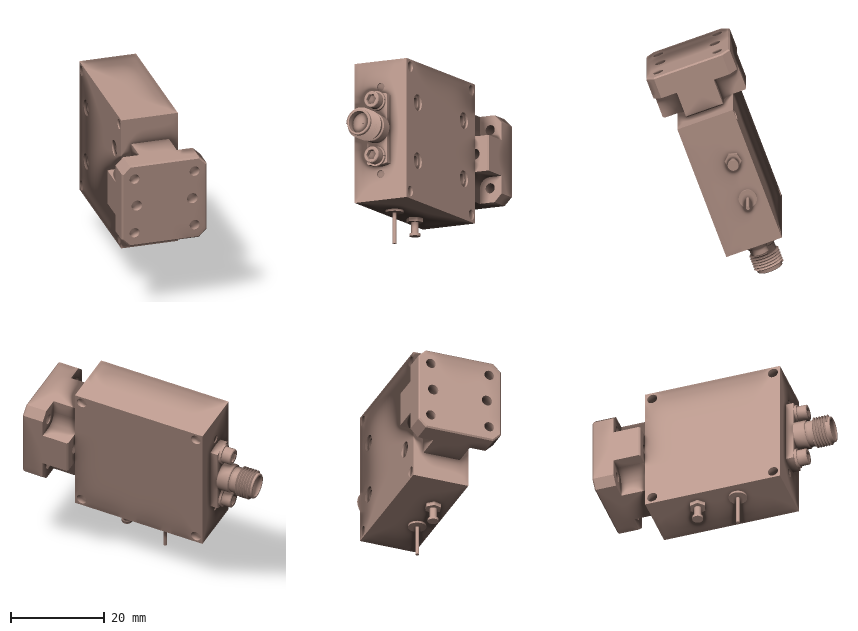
import cadquery as cq
import math

LENGTH = 51.35
HOUSING_SIDE = 30.45
HOUSING_DEPTH = 12.7
CONNECTOR_REACH = 9.95
HOUSING_BOTTOM = -HOUSING_SIDE / 2
FLANGE_END = LENGTH - CONNECTOR_REACH

CORNER_HOLE_DIA = 2.25
CORNER_HOLE_INSET = 1.6
MOUNT_DIA = 2.25
MOUNT_BORE_DIA = 3.6
MOUNT_BORE_DEPTH = 0.5
MOUNT_DEPTH = 4.1
MOUNT_SPACING_X = 20.6
MOUNT_SPACING_Z = 12.75
DRILL_POINT_ANGLE = 118.0
DIMPLE_DIA = 1.75
DIMPLE_DEPTH = 0.3
DIMPLE_OFFSET = 9.55

FLANGE_SIDE = 19.05
FLANGE_RELIEF = 0.13
FLANGE_PLATE = 4.85
FLANGE_CORNER = 1.75
FLANGE_EDGE = 0.3
CROSS_BAR_HALF_Y = 4.2
CROSS_BAR_HALF_Z = 3.9
CROSS_FILLET = 2.45
FLANGE_HOLE_DIA = 2.2
FLANGE_HOLE_Y = 6.75
FLANGE_HOLE_Z = 6.35
DOWEL_HOLE_DIA = 2.35
DOWEL_HOLE_Y = 6.2

PLATE_THICKNESS = 1.7
PLATE_DIA = 15.8
PLATE_WIDTH = 4.85
BODY_DIA = 6.25
BODY_LENGTH = 2.7
BODY_CHAMFER = 0.15
GROOVE_DIA = 5.5
GROOVE_WIDTH = 0.45
NOSE_DIA = 5.65
NOSE_CHAMFER = 0.13
THREAD_DIA = 6.6
THREAD_PITCH = 0.6
THREAD_START = 0.6
THREAD_TURNS = 5.8
THREAD_ROOT_WIDTH = 0.55
THREAD_OVERLAP = 0.05
BORE_DIA = 4.7
BORE_DEPTH = 2.0
CONTACT_DIA = 0.25
CONTACT_DEPTH = 1.05
SCREW_OFFSET = 6.05
WASHER_DIA = 4.3
WASHER_THICKNESS = 0.5
WASHER_SPLIT = 0.075
HEAD_DIA = 3.55
HEAD_HEIGHT = 2.1
HEAD_CHAMFER = 0.15
SOCKET_FLATS = 2.05
SOCKET_DEPTH = 1.15

TERMINAL_Y = 2.5
PIN_X = 10.8
PIN_DIA = 0.8
PIN_LENGTH = 7.25
PIN_DISC_DIA = 3.95
PIN_DISC_HEIGHT = 0.45
TURRET_X = 19.9
TURRET_HEX_DIA = 3.65
TURRET_HEX_HEIGHT = 0.85
TURRET_HEX_TURN = -14.0
TURRET_POST_DIA = 1.6
TURRET_CAP_DIA = 2.35
TURRET_CAP_HEIGHT = 0.55
TURRET_HEIGHT = 3.9


def cylinder_x(x, dia, length, y=0.0, z=0.0):
    """Cylinder along +X starting at x."""
    return cq.Workplane("YZ", origin=(x, y, z)).circle(dia / 2).extrude(length)


def mount_hole():
    """Counterbored blind hole with a conical end, bored along +Y from y = 0."""
    radius = MOUNT_DIA / 2
    tip = MOUNT_DEPTH + radius / math.tan(math.radians(DRILL_POINT_ANGLE / 2))
    half_section = [
        (0, 0),
        (MOUNT_BORE_DIA / 2, 0),
        (MOUNT_BORE_DIA / 2, MOUNT_BORE_DEPTH),
        (radius, MOUNT_BORE_DEPTH),
        (radius, MOUNT_DEPTH),
        (0, tip),
    ]
    return cq.Workplane("XY").polyline(half_section).close().revolve(360, (0, 0), (0, 1))


def make_housing_block():
    block = cq.Workplane("XY").box(HOUSING_SIDE, HOUSING_DEPTH, HOUSING_SIDE)
    corner_spacing = HOUSING_SIDE - 2 * CORNER_HOLE_INSET
    block = block.faces("<Y").workplane().rect(corner_spacing, corner_spacing, forConstruction=True)
    block = block.vertices().hole(CORNER_HOLE_DIA).translate((HOUSING_SIDE / 2, 0, 0))
    for side_x in (-1, 1):
        for side_z in (-1, 1):
            x = HOUSING_SIDE / 2 + side_x * MOUNT_SPACING_X / 2
            z = side_z * MOUNT_SPACING_Z / 2
            block = block.cut(mount_hole().translate((x, -HOUSING_DEPTH / 2, z)))
    for side_z in (-1, 1):
        block = block.cut(cylinder_x(0, DIMPLE_DIA, DIMPLE_DEPTH, z=side_z * DIMPLE_OFFSET))
    return block


def make_flange():
    """Square plate on a cross-shaped base, standing off the housing on a thin neck."""
    start = HOUSING_SIDE + FLANGE_RELIEF
    length = FLANGE_END - start
    base_length = length - FLANGE_PLATE
    side = cq.Workplane("YZ", origin=(start, 0, 0))
    base = side.rect(FLANGE_SIDE, 2 * CROSS_BAR_HALF_Z).extrude(base_length)
    base = base.union(side.rect(2 * CROSS_BAR_HALF_Y, FLANGE_SIDE).extrude(base_length))
    margin = CROSS_FILLET / 2
    inner_corners = cq.selectors.BoxSelector(
        (start, -CROSS_BAR_HALF_Y - margin, -CROSS_BAR_HALF_Z - margin),
        (FLANGE_END, CROSS_BAR_HALF_Y + margin, CROSS_BAR_HALF_Z + margin),
    )
    base = base.edges("|X").edges(inner_corners).fillet(CROSS_FILLET)
    for direction in ("<Y", ">Y", "<Z", ">Z"):
        base = base.faces(direction).edges("<X").chamfer(FLANGE_EDGE)
    plate = side.workplane(offset=base_length).rect(FLANGE_SIDE, FLANGE_SIDE).extrude(FLANGE_PLATE)
    plate = plate.edges("|X").chamfer(FLANGE_CORNER).faces(">X").edges().chamfer(FLANGE_EDGE)
    neck = cq.Workplane("YZ", origin=(HOUSING_SIDE, 0, 0))
    neck = neck.rect(2 * CROSS_BAR_HALF_Y, 2 * CROSS_BAR_HALF_Z).extrude(FLANGE_RELIEF)
    flange = base.union(plate)
    for side_y in (-1, 1):
        flange = flange.cut(cylinder_x(start, DOWEL_HOLE_DIA, length, y=side_y * DOWEL_HOLE_Y))
        for side_z in (-1, 1):
            y = side_y * FLANGE_HOLE_Y
            z = side_z * FLANGE_HOLE_Z
            flange = flange.cut(cylinder_x(start, FLANGE_HOLE_DIA, length, y, z))
    return flange.union(neck)


def make_thread():
    """Helical ridge of triangular section around the nose."""
    root = NOSE_DIA / 2 - THREAD_OVERLAP
    height = THREAD_PITCH * THREAD_TURNS
    helix = cq.Wire.makeHelix(THREAD_PITCH, height, root)
    ridge = (
        cq.Workplane("XZ")
        .moveTo(root, -THREAD_ROOT_WIDTH / 2)
        .lineTo(THREAD_DIA / 2, 0)
        .lineTo(root, THREAD_ROOT_WIDTH / 2)
        .close()
        .sweep(cq.Workplane(helix), isFrenet=True)
    )
    start = THREAD_START - CONNECTOR_REACH
    ridge = ridge.rotate((0, 0, 0), (0, 1, 0), 90)
    return ridge.rotate((0, 0, 0), (1, 0, 0), 90).translate((start, 0, 0))


def make_screw(z):
    """Socket head on a split lock washer, seated on the connector plate."""
    washer_x = -PLATE_THICKNESS - WASHER_THICKNESS
    head_x = washer_x - HEAD_HEIGHT
    washer = cylinder_x(washer_x, WASHER_DIA, WASHER_THICKNESS, z=z)
    split = cq.Workplane("XY").box(
        WASHER_THICKNESS, (WASHER_DIA - HEAD_DIA) / 2, WASHER_SPLIT, centered=(False, False, True)
    )
    washer = washer.cut(split.translate((washer_x, -WASHER_DIA / 2, z)))
    head = cylinder_x(head_x, HEAD_DIA, HEAD_HEIGHT, z=z).faces("<X").chamfer(HEAD_CHAMFER)
    socket_dia = SOCKET_FLATS / math.cos(math.pi / 6)
    socket = cq.Workplane("YZ", origin=(head_x, 0, z)).polygon(6, socket_dia).extrude(SOCKET_DEPTH)
    return washer.union(head.cut(socket))


def make_connector():
    plate = cylinder_x(-PLATE_THICKNESS, PLATE_DIA, PLATE_THICKNESS)
    plate = plate.intersect(cq.Workplane("XY").box(LENGTH, PLATE_WIDTH, PLATE_DIA))

    body_x = -PLATE_THICKNESS - BODY_LENGTH
    body = cylinder_x(body_x, BODY_DIA, BODY_LENGTH).faces("<X or >X").chamfer(BODY_CHAMFER)

    nose_length = CONNECTOR_REACH + body_x
    nose = cylinder_x(-CONNECTOR_REACH, NOSE_DIA, nose_length - GROOVE_WIDTH)
    nose = nose.faces("<X").chamfer(NOSE_CHAMFER)
    groove = cylinder_x(body_x - GROOVE_WIDTH, GROOVE_DIA, GROOVE_WIDTH)

    connector = nose.union(make_thread()).union(groove).union(body).union(plate)
    connector = connector.cut(cylinder_x(-CONNECTOR_REACH, BORE_DIA, BORE_DEPTH))
    connector = connector.cut(cylinder_x(BORE_DEPTH - CONNECTOR_REACH, CONTACT_DIA, CONTACT_DEPTH))
    for side_z in (-1, 1):
        connector = connector.union(make_screw(side_z * SCREW_OFFSET))
    return connector


def terminal_plane(x):
    """Upward-facing workplane on the housing's underside."""
    return cq.Workplane("XY", origin=(x, TERMINAL_Y, HOUSING_BOTTOM))


def make_feedthrough():
    disc = terminal_plane(PIN_X).circle(PIN_DISC_DIA / 2).extrude(-PIN_DISC_HEIGHT)
    return disc.union(terminal_plane(PIN_X).circle(PIN_DIA / 2).extrude(-PIN_LENGTH))


def make_turret():
    plane = terminal_plane(TURRET_X)
    hexagon = plane.transformed(rotate=(0, 0, TURRET_HEX_TURN)).polygon(6, TURRET_HEX_DIA)
    turret = hexagon.extrude(-TURRET_HEX_HEIGHT)
    turret = turret.union(plane.circle(TURRET_POST_DIA / 2).extrude(-TURRET_HEIGHT))
    cap_top = TURRET_CAP_HEIGHT - TURRET_HEIGHT
    cap = plane.workplane(offset=cap_top).circle(TURRET_CAP_DIA / 2).extrude(-TURRET_CAP_HEIGHT)
    return turret.union(cap)


housing = make_housing_block().union(make_flange())
connector = make_connector()
feedthrough = make_feedthrough()
turret = make_turret()

result = cq.Compound.makeCompound(
    [body.solids().val() for body in (housing, connector, feedthrough, turret)]
)